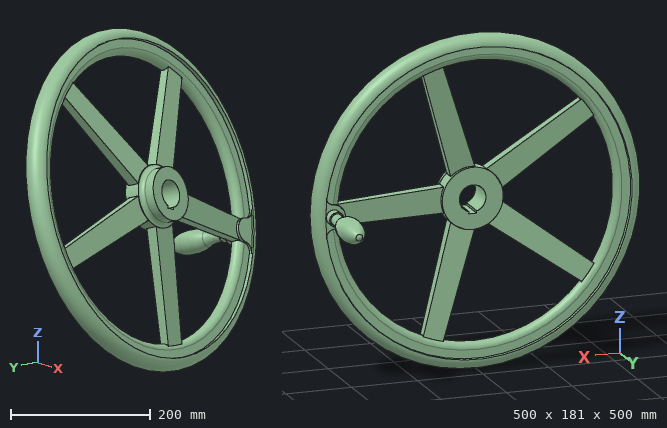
import cadquery as cq
import math


rim_outer_radius = 250.0
rim_half_width = 17.0
rim_round_center = rim_outer_radius - rim_half_width
rim_inner_radius = 209.5
rim_bead_radius = 10.5

hub_radius = 46.5
nose_radius = 79.0 / 2
hub_front = -55.0
shoulder_front = -33.0
hub_back = -9.0
cove_radius = hub_radius - nose_radius
bore_radius = 20.0
keyway_width = 12.0
keyway_depth = 22.5

spoke_count = 5
spoke_root_half_width = 19.5
spoke_end_half_width = 16.0
spoke_end_radius = 215.0
spoke_end_front = -8.5
spoke_root_back = -15.0
spoke_end_back = 5.5

handle_x = 220.0
pad_radius = 18.0
pad_recess = 3.0
pad_flare_radius = 12.5
collar_radius = 22.0 / 2
collar_end = 28.5
neck_radius = 9.0
neck_mid = 38.5
grip_start = 57.5
grip_start_radius = 12.5
grip_widest = 83.5
grip_max_radius = 18.0
tip_radius = 5.0
tip_start = 124.0
handle_end = 126.0


def revolve_about_y(profile):
    return profile.close().revolve(360, (0, 0, 0), (0, 1, 0))


def make_rim():
    """Half-round outside, recessed flat faces and half-round inner bead."""
    face = rim_bead_radius
    round_start = rim_inner_radius + rim_bead_radius
    profile = (
        cq.Workplane("XY")
        .moveTo(rim_round_center, -rim_half_width)
        .threePointArc((rim_outer_radius, 0), (rim_round_center, rim_half_width))
        .lineTo(rim_round_center, face)
        .lineTo(round_start, face)
        .threePointArc((rim_inner_radius, 0), (round_start, -face))
        .lineTo(rim_round_center, -face)
    )
    return revolve_about_y(profile)


def make_hub():
    """Stepped hub with a concave cove between the shoulder and the nose."""
    cove_start = shoulder_front - cove_radius
    cove_offset = cove_radius * math.sqrt(0.5)
    cove_middle = (hub_radius - cove_offset, cove_start + cove_offset)
    profile = (
        cq.Workplane("XY")
        .moveTo(0, hub_front)
        .lineTo(nose_radius, hub_front)
        .lineTo(nose_radius, cove_start)
        .threePointArc(cove_middle, (hub_radius, shoulder_front))
        .lineTo(hub_radius, hub_back)
        .lineTo(0, hub_back)
    )
    return revolve_about_y(profile)


def make_spoke():
    """Spoke along +X, tapering in width and thickness from hub to rim."""

    def section(x, half_width, front, back):
        corners = [(front, -half_width), (back, -half_width), (back, half_width), (front, half_width)]
        return cq.Wire.makePolygon([cq.Vector(x, y, z) for y, z in corners], close=True)

    root = section(nose_radius, spoke_root_half_width, shoulder_front, spoke_root_back)
    end = section(spoke_end_radius, spoke_end_half_width, spoke_end_front, spoke_end_back)
    return cq.Workplane(obj=cq.Solid.makeLoft([root, end], True))


def make_pad():
    """Round pad flaring tangentially into the step at the edge of the flat faces."""
    flare_from_pad = pad_radius + pad_flare_radius
    flare_from_axis = rim_round_center - pad_flare_radius
    flare_x = (flare_from_axis**2 - flare_from_pad**2 + handle_x**2) / (2 * handle_x)
    flare_z = math.sqrt(flare_from_axis**2 - flare_x**2)

    pad_share = pad_radius / flare_from_pad
    join_x = handle_x + (flare_x - handle_x) * pad_share
    join_z = flare_z * pad_share
    edge_scale = rim_round_center / flare_from_axis
    edge_x = flare_x * edge_scale
    edge_z = flare_z * edge_scale

    chord_x = (join_x + edge_x) / 2 - flare_x
    chord_z = (join_z + edge_z) / 2 - flare_z
    bulge = pad_flare_radius / math.hypot(chord_x, chord_z)
    mid_x = flare_x + chord_x * bulge
    mid_z = flare_z + chord_z * bulge

    return (
        cq.Workplane("XZ")
        .moveTo(edge_x, edge_z)
        .threePointArc((mid_x, mid_z), (join_x, join_z))
        .threePointArc((handle_x - pad_radius, 0), (join_x, -join_z))
        .threePointArc((mid_x, -mid_z), (edge_x, -edge_z))
        .threePointArc((rim_round_center, 0), (edge_x, edge_z))
        .close()
        .extrude(rim_half_width - pad_recess, both=True)
    )


def make_handle():
    """Turned handle: plain collar, waisted neck and bulged grip."""
    profile = (
        cq.Workplane("XY")
        .lineTo(collar_radius, 0)
        .lineTo(collar_radius, collar_end)
        .lineTo(neck_radius, collar_end)
        .spline(
            [(neck_radius, neck_mid), (grip_start_radius, grip_start)],
            tangents=[(0, 1), (1, 2)],
            includeCurrent=True,
        )
        .spline(
            [(grip_max_radius, grip_widest), (tip_radius, tip_start)],
            tangents=[(1, 2), (-1, 1)],
            includeCurrent=True,
        )
        .lineTo(0, handle_end)
    )
    return revolve_about_y(profile).translate((handle_x, 0, 0))


def make_bore():
    """Through bore with a keyway on the -Z side."""
    hub_length = hub_back - hub_front
    hub_middle = (hub_back + hub_front) / 2
    bore = cq.Workplane("XZ", origin=(0, hub_back, 0)).circle(bore_radius).extrude(hub_length)
    keyway = (
        cq.Workplane("XY")
        .box(keyway_width, hub_length, keyway_depth)
        .translate((0, hub_middle, -keyway_depth / 2))
    )
    return bore.union(keyway)


wheel = make_rim().union(make_hub())
for index in range(spoke_count):
    angle = index * 360 / spoke_count
    wheel = wheel.union(make_spoke().rotate((0, 0, 0), (0, 1, 0), angle))

result = wheel.union(make_pad()).union(make_handle()).cut(make_bore())